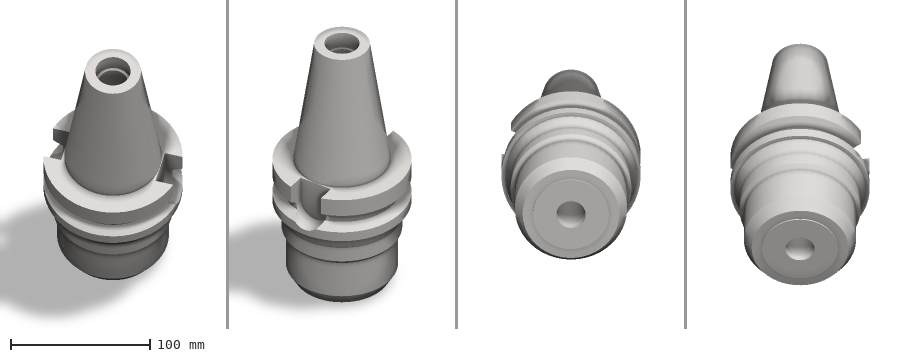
import cadquery as cq

total_height = 206.8

gauge_height = 105.0
gauge_radius = 35.0
shank_end_radius = 20.0

flange_radius = 50.0
flange_top = 103.6
groove_upper_edge = 89.5
groove_floor_top = 85.2
groove_floor_bottom = 79.0
groove_lower_edge = 74.9
groove_radius = 42.8
flange_bottom = 67.0

neck_radius = 47.2
neck_top = 66.0
collar_radius = 43.5
collar_top = 56.0
collar_bottom = 44.0
nose_radius = 40.3
nose_top = 40.3
chamfer_top = 10.5
chamfer_end_radius = 34.7
end_rim_radius = 27.3
end_rim_height = 1.0

bore_radius = 10.5
counterbore_radius = 12.6
counterbore_depth = 13.0

slot_width = 25.6
slot_bottom = 71.3
slot_floor_distance = 35.2


def make_body():
    """Revolve the outer outline, listed from the nose end upward."""
    outline = [
        (0, 0),
        (end_rim_radius, 0),
        (end_rim_radius, end_rim_height),
        (chamfer_end_radius, end_rim_height),
        (nose_radius, chamfer_top),
        (nose_radius, nose_top),
        (collar_radius, collar_bottom),
        (collar_radius, collar_top),
        (neck_radius, neck_top),
        (neck_radius, flange_bottom),
        (flange_radius, flange_bottom),
        (flange_radius, groove_lower_edge),
        (groove_radius, groove_floor_bottom),
        (groove_radius, groove_floor_top),
        (flange_radius, groove_upper_edge),
        (flange_radius, flange_top),
        (gauge_radius, flange_top),
        (gauge_radius, gauge_height),
        (shank_end_radius, total_height),
        (0, total_height),
    ]
    return cq.Workplane("XZ").polyline(outline).close().revolve(360, (0, 0), (0, 1))


def make_bore():
    """Through bore with a counterbore at the small end of the taper."""
    bore = cq.Workplane("XY").circle(bore_radius).extrude(total_height)
    counterbore = (
        cq.Workplane("XY")
        .workplane(offset=total_height - counterbore_depth)
        .circle(counterbore_radius)
        .extrude(counterbore_depth)
    )
    return bore.union(counterbore)


def make_slot(side):
    """Cutter for the drive slot on the +X (side=1) or -X (side=-1) edge."""
    half_width = slot_width / 2
    arc_height = slot_bottom + half_width
    return (
        cq.Workplane("YZ")
        .workplane(offset=side * slot_floor_distance)
        .moveTo(-half_width, flange_top)
        .lineTo(-half_width, arc_height)
        .threePointArc((0, slot_bottom), (half_width, arc_height))
        .lineTo(half_width, flange_top)
        .close()
        .extrude(side * (flange_radius - slot_floor_distance))
    )


result = make_body().cut(make_bore())
for slot_side in (-1, 1):
    result = result.cut(make_slot(slot_side))